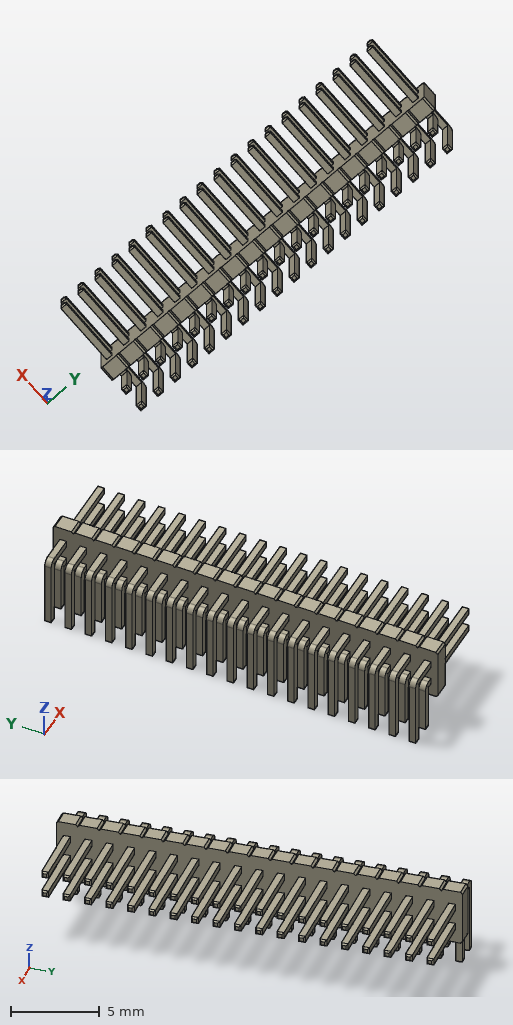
import cadquery as cq

positions = 19
header_length = 24.13
pitch = header_length / positions
pin_size = 0.4
bend_radius = pin_size
tip_chamfer = 0.1
housing_width = 0.97
housing_height = 3.4
housing_chamfer = 0.12
overall_width = 6.97
overall_height = 5.57
housing_left = 1.98

housing_top = overall_height
housing_bottom = housing_top - housing_height
housing_middle = (housing_top + housing_bottom) / 2
pin_rows = (
    (pin_size / 2, housing_middle + pitch / 2),
    (pin_size / 2 + pitch, housing_middle - pitch / 2),
)


def make_housing_cell(y):
    """One pitch of the housing, with its four edges along X chamfered to leave V notches between cells."""
    return (
        cq.Workplane("XY")
        .box(housing_width, pitch, housing_height, centered=(False, True, False))
        .edges("|X")
        .chamfer(housing_chamfer)
        .translate((housing_left, y, housing_bottom))
    )


def make_pin(leg_x, arm_z):
    """Square pin bent at a right angle, with chamfered tips and a sharp inner corner, centred on Y = 0."""
    half = pin_size / 2
    leg_left = leg_x - half
    leg_right = leg_x + half
    arm_bottom = arm_z - half
    arm_top = arm_z + half
    pin = (
        cq.Workplane("XZ")
        .moveTo(leg_left, 0)
        .lineTo(leg_right, 0)
        .lineTo(leg_right, arm_bottom)
        .lineTo(overall_width, arm_bottom)
        .lineTo(overall_width, arm_top)
        .lineTo(leg_left + bend_radius, arm_top)
        .radiusArc((leg_left, arm_top - bend_radius), -bend_radius)
        .close()
        .extrude(half, both=True)
    )
    pin = pin.faces(">X").chamfer(tip_chamfer)
    return pin.faces("<Z").chamfer(tip_chamfer)


result = None
pin_pair = [make_pin(leg_x, arm_z) for leg_x, arm_z in pin_rows]
for index in range(positions):
    y = (index - (positions - 1) / 2) * pitch
    cell = make_housing_cell(y)
    for pin in pin_pair:
        cell = cell.union(pin.translate((0, y, 0)))
    result = cell if result is None else result.union(cell)